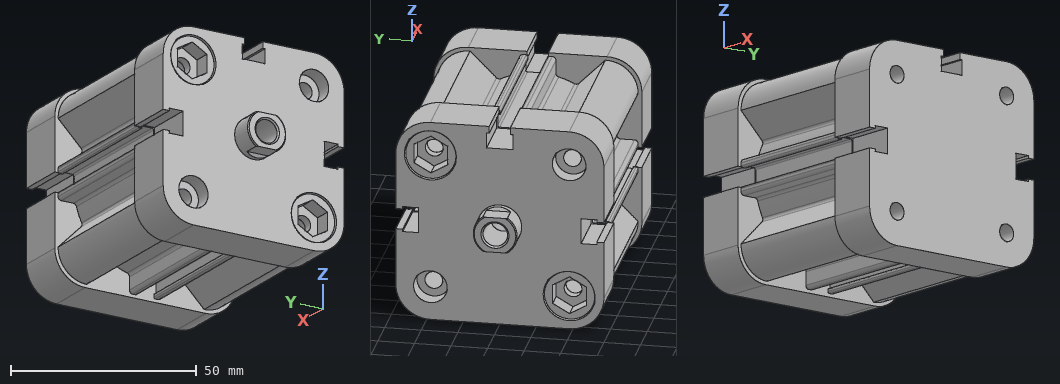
import cadquery as cq
import math


body_side = 57.0
cap_length = 14.8
barrel_length = 41.35
cap_corner_radius = 9.5
barrel_inset = 1.0
barrel_corner_radius = 9.0
barrel_radius = 22.5
half_side = body_side / 2
body_length = 2 * cap_length + barrel_length
barrel_half_side = half_side - barrel_inset
corner_offset = half_side - cap_corner_radius

rib_half_width = 5.0
profile_radius = 1.0
slot_radius = 0.5

cap_mouth_half_width = 2.9
cap_slot_half_width = 3.6
cap_lip_bottom = half_side - 1.95
cap_slot_floor = half_side - 6.25
slot_clearance = 0.3
barrel_mouth_half_width = 2.65
barrel_slot_half_width = cap_slot_half_width - slot_clearance
barrel_lip_bottom = cap_lip_bottom - slot_clearance
barrel_slot_floor = cap_slot_floor + slot_clearance

through_radius = 2.4
plain_counterbore_radius = 4.6
plain_counterbore_depth = 5.0
screw_counterbore_radius = 7.1
screw_head_radius = 6.9
screw_counterbore_depth = 8.6
screw_recess = 0.6
screw_head_length = screw_counterbore_depth - screw_recess
hex_sides = 6
hex_across_flats = 9.2
hex_depth = 5.15

rod_radius = 6.0
rod_reach = 7.0
rod_seat_depth = cap_length
rod_tip_chamfer = 0.3
flat_half_height = 5.0
flat_length = 5.0
flat_ramp_angle = 30.0
thread_radius = 3.35
thread_mouth_radius = 3.8
thread_depth = 11.7
drill_point_angle = 118.0

SLOT_ANGLES = (0, 90, -90)
SIDE_ANGLES = (0, 90, 180, 270)
PLAIN_CORNERS = [(-corner_offset, corner_offset), (corner_offset, -corner_offset)]
SCREW_CORNERS = [(corner_offset, corner_offset), (-corner_offset, -corner_offset)]


def section(x):
    """Workplane across the axis at x; its local axes are Y and Z."""
    return cq.Workplane("YZ", origin=(x, 0, 0))


def turned(shape, angle):
    """Copy of a shape turned about the cylinder axis."""
    return shape.rotate((0, 0, 0), (1, 0, 0), angle)


def rounded_block(x, length, half, corner_radius):
    return section(x).rect(2 * half, 2 * half).extrude(length).edges("|X").fillet(corner_radius)


def tee_slot(x, length, mouth_half_width, slot_half_width, lip_bottom, floor):
    """Cutter for a T-slot that opens towards +Z."""
    mouth_height = half_side - floor
    slot_height = lip_bottom - floor
    mouth = section(x).center(0, floor + mouth_height / 2).rect(2 * mouth_half_width, mouth_height)
    slot = section(x).center(0, floor + slot_height / 2).rect(2 * slot_half_width, slot_height)
    return mouth.extrude(length).union(slot.extrude(length))


def side_pocket():
    """Cutter for the pocket beside the rib on the +Z face, at +Y."""
    pocket = (
        section(cap_length)
        .moveTo(rib_half_width, barrel_half_side)
        .lineTo(barrel_half_side - barrel_corner_radius, barrel_half_side)
        .lineTo(rib_half_width, rib_half_width + barrel_corner_radius)
        .close()
        .extrude(barrel_length)
        .cut(section(cap_length).circle(barrel_radius).extrude(barrel_length))
    )
    bottom_edges = pocket.edges("|X").sort(lambda edge: edge.Center().z)[:2]
    return bottom_edges.fillet(profile_radius)


def rib_edges(barrel, half_width, angle):
    """The two top edges of the rib, or of its slot mouth, on the side at this angle."""
    radians = math.radians(angle)
    across = cq.Vector(0, math.cos(radians), math.sin(radians))
    outward = cq.Vector(0, -math.sin(radians), math.cos(radians))
    middle = cq.Vector(cap_length + barrel_length / 2, 0, 0) + outward * barrel_half_side
    left = middle - across * half_width
    right = middle + across * half_width
    return barrel.edges(cq.NearestToPointSelector(left)).add(
        barrel.edges(cq.NearestToPointSelector(right))
    )


def make_barrel():
    barrel = rounded_block(cap_length, barrel_length, barrel_half_side, barrel_corner_radius)
    pocket = side_pocket()
    slot = tee_slot(cap_length, barrel_length, barrel_mouth_half_width, barrel_slot_half_width,
                    barrel_lip_bottom, barrel_slot_floor)
    slot = slot.faces("<Z").edges("|X").fillet(slot_radius)
    for angle in SIDE_ANGLES:
        barrel = barrel.cut(turned(pocket, angle))
        barrel = barrel.cut(turned(pocket.mirror("XZ"), angle))
        barrel = barrel.cut(turned(slot, angle))
    for angle in SIDE_ANGLES:
        barrel = rib_edges(barrel, rib_half_width, angle).fillet(profile_radius)
        barrel = rib_edges(barrel, barrel_mouth_half_width, angle).fillet(slot_radius)
    return barrel


def make_cap(x):
    cap = rounded_block(x, cap_length, half_side, cap_corner_radius)
    slot = tee_slot(x, cap_length, cap_mouth_half_width, cap_slot_half_width,
                    cap_lip_bottom, cap_slot_floor)
    for angle in SLOT_ANGLES:
        cap = cap.cut(turned(slot, angle))
    return cap


def bores(points, radius, depth):
    return section(0).pushPoints(points).circle(radius).extrude(depth)


def make_housing():
    """Caps and barrel in one piece, with the seats for the rod and the screws."""
    housing = make_cap(0).union(make_barrel()).union(make_cap(cap_length + barrel_length))
    housing = housing.cut(bores(PLAIN_CORNERS + SCREW_CORNERS, through_radius, body_length))
    housing = housing.cut(bores(PLAIN_CORNERS, plain_counterbore_radius, plain_counterbore_depth))
    housing = housing.cut(bores(SCREW_CORNERS, screw_counterbore_radius, screw_counterbore_depth))
    return housing.cut(bores([(0, 0)], rod_radius, rod_seat_depth))


def make_screw(y, z):
    """Hollow hexagon-socket screw, seated in its counterbore just below the front cap's face."""
    hex_across_corners = hex_across_flats / math.cos(math.pi / hex_sides)
    head = section(screw_recess).center(y, z).circle(screw_head_radius).extrude(screw_head_length)
    socket = section(screw_recess).center(y, z).polygon(hex_sides, hex_across_corners).extrude(hex_depth)
    socket = socket.rotate((0, y, z), (1, y, z), 90)
    bore = section(screw_recess).center(y, z).circle(through_radius).extrude(screw_head_length)
    return head.cut(socket).cut(bore)


def wrench_flat(tip):
    """Cutter for the flat on top of the rod, ending in a ramp."""
    flat_height = rod_radius - flat_half_height
    ramp_run = flat_height * math.tan(math.radians(flat_ramp_angle))
    return (
        cq.Workplane("XZ")
        .moveTo(tip, flat_half_height)
        .lineTo(tip + flat_length, flat_half_height)
        .lineTo(tip + flat_length + ramp_run, rod_radius)
        .lineTo(tip, rod_radius)
        .close()
        .extrude(rod_radius, both=True)
    )


def make_rod():
    tip = -rod_reach
    mouth_depth = thread_mouth_radius - thread_radius
    drill_point = thread_radius / math.tan(math.radians(drill_point_angle / 2))
    rod = section(tip).circle(rod_radius).extrude(rod_reach + rod_seat_depth)
    rod = rod.faces("<X").chamfer(rod_tip_chamfer)
    flat = wrench_flat(tip)
    rod = rod.cut(flat).cut(flat.mirror("XY"))
    thread_hole = (
        cq.Workplane("XY")
        .moveTo(tip, 0)
        .lineTo(tip, thread_mouth_radius)
        .lineTo(tip + mouth_depth, thread_radius)
        .lineTo(tip + thread_depth, thread_radius)
        .lineTo(tip + thread_depth + drill_point, 0)
        .close()
        .revolve(360, (0, 0, 0), (1, 0, 0))
    )
    return rod.cut(thread_hole)


housing = make_housing()
rod = make_rod()
screws = [make_screw(y, z) for y, z in SCREW_CORNERS]

result = cq.Compound.makeCompound([housing.val(), rod.val(), *[screw.val() for screw in screws]])